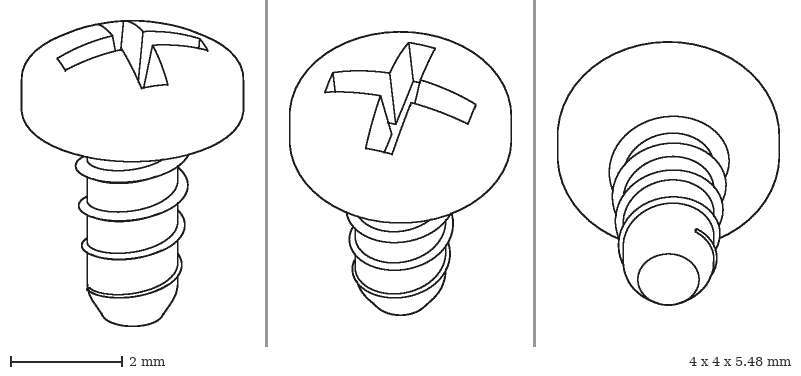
import cadquery as cq
import math

head_radius = 2.0
head_base_z = 4.005
rim_fillet = 0.2
base_fillet = 0.09
overall_height = 5.48
dome_radius = 3.205

shank_radius = 0.815
neck_fillet = 0.1
tip_round_start_z = 0.59
tip_round_radius = 0.5
tip_half_angle = math.radians(30)

recess_floor_z = 4.33
recess_half_width = 0.125
recess_half_length = 1.22
recess_draft = math.radians(8)
recess_clearance = 0.055

thread_pitch = 0.8
thread_start_z = 0.6
thread_start_angle = 270.0
thread_turns = 4.5
crest_start_height = 0.05
crest_growth_per_turn = 0.055
thread_half_angle = math.radians(30)
root_overlap = 0.03

recess_corner_half_width = (
    recess_half_width + (overall_height - recess_floor_z) * math.tan(recess_draft)
)
recess_corner_radius = math.sqrt(2) * recess_corner_half_width
dome_center_z = overall_height - math.sqrt(dome_radius**2 - recess_corner_radius**2)
dome_apex_z = dome_center_z + dome_radius


def arc_point(center, radius, angle):
    """Point at an angle, in radians, on an arc in the radius-height plane."""
    return (center[0] + radius * math.cos(angle), center[1] + radius * math.sin(angle))


def make_body():
    """Revolve the head and shank outline around Z."""
    tip_center = (shank_radius - tip_round_radius, tip_round_start_z)
    tip_round_end = arc_point(tip_center, tip_round_radius, -tip_half_angle)
    tip_round_mid = arc_point(tip_center, tip_round_radius, -tip_half_angle / 2)
    tip_end_radius = tip_round_end[0] - tip_round_end[1] * math.tan(tip_half_angle)

    neck_center = (shank_radius + neck_fillet, head_base_z - neck_fillet)
    neck_mid = arc_point(neck_center, neck_fillet, math.radians(135))

    base_center = (head_radius - base_fillet, head_base_z + base_fillet)
    base_mid = arc_point(base_center, base_fillet, math.radians(-45))

    rim_center_radius = head_radius - rim_fillet
    rim_center_z = dome_center_z + math.sqrt((dome_radius - rim_fillet) ** 2 - rim_center_radius**2)
    rim_center = (rim_center_radius, rim_center_z)
    dome_edge_angle = math.atan2(rim_center_z - dome_center_z, rim_center_radius)
    rim_mid = arc_point(rim_center, rim_fillet, dome_edge_angle / 2)
    dome_edge = arc_point(rim_center, rim_fillet, dome_edge_angle)
    dome_mid_angle = (dome_edge_angle + math.pi / 2) / 2
    dome_mid = arc_point((0, dome_center_z), dome_radius, dome_mid_angle)

    return (
        cq.Workplane("XZ")
        .lineTo(tip_end_radius, 0)
        .lineTo(*tip_round_end)
        .threePointArc(tip_round_mid, (shank_radius, tip_round_start_z))
        .lineTo(shank_radius, neck_center[1])
        .threePointArc(neck_mid, (neck_center[0], head_base_z))
        .lineTo(base_center[0], head_base_z)
        .threePointArc(base_mid, (head_radius, base_center[1]))
        .lineTo(head_radius, rim_center_z)
        .threePointArc(rim_mid, dome_edge)
        .threePointArc(dome_mid, (0, dome_apex_z))
        .close()
        .revolve(360, (0, 0, 0), (0, 1, 0))
    )


def make_tapered_slot(half_x, half_y):
    """Sharp-cornered slot with the given half sizes at its floor, reaching above the dome."""
    height = dome_apex_z - recess_floor_z + recess_clearance
    widening = height * math.tan(recess_draft)
    return (
        cq.Workplane("XY", origin=(0, 0, recess_floor_z))
        .rect(2 * half_x, 2 * half_y)
        .workplane(offset=height)
        .rect(2 * (half_x + widening), 2 * (half_y + widening))
        .loft(ruled=True)
    )


def make_recess():
    """Two crossing tapered slots."""
    slot_along_x = make_tapered_slot(recess_half_length, recess_half_width)
    slot_along_y = make_tapered_slot(recess_half_width, recess_half_length)
    return slot_along_x.union(slot_along_y)


def make_helix(pitch, radius, base_z, cone_angle=0.0):
    """Helix edge with the given axial pitch, widening upward by the cone angle in radians."""
    slant_pitch = pitch / math.cos(cone_angle)
    slant_height = slant_pitch * thread_turns
    if cone_angle:
        helix = cq.Wire.makeHelix(slant_pitch, slant_height, radius, angle=math.degrees(cone_angle))
    else:
        helix = cq.Wire.makeHelix(slant_pitch, slant_height, radius)
    return helix.translate(cq.Vector(0, 0, base_z)).Edges()[0]


def make_thread():
    """Triangular ridge bounded by two diverging root helices and a conical crest helix."""
    root_radius = shank_radius - root_overlap
    crest_radius = shank_radius + crest_start_height
    half_height = (crest_start_height + root_overlap) * math.tan(thread_half_angle)
    half_height_growth = crest_growth_per_turn * math.tan(thread_half_angle)
    crest_cone_angle = math.atan2(crest_growth_per_turn, thread_pitch)

    crest = make_helix(thread_pitch, crest_radius, thread_start_z, crest_cone_angle)
    upper = make_helix(thread_pitch + half_height_growth, root_radius, thread_start_z + half_height)
    lower = make_helix(thread_pitch - half_height_growth, root_radius, thread_start_z - half_height)

    helices = [crest, upper, lower]
    flanks = [
        cq.Face.makeRuledSurface(crest, upper),
        cq.Face.makeRuledSurface(upper, lower),
        cq.Face.makeRuledSurface(lower, crest),
    ]
    ends = []
    for fraction in (0, 1):
        corners = [helix.positionAt(fraction) for helix in helices]
        ends.append(cq.Face.makeFromWires(cq.Wire.makePolygon(corners, close=True)))
    ridge = cq.Solid.makeSolid(cq.Shell.makeShell(flanks + ends))
    return ridge.rotate(cq.Vector(0, 0, 0), cq.Vector(0, 0, 1), thread_start_angle)


result = make_body().union(cq.Workplane(make_thread())).cut(make_recess())